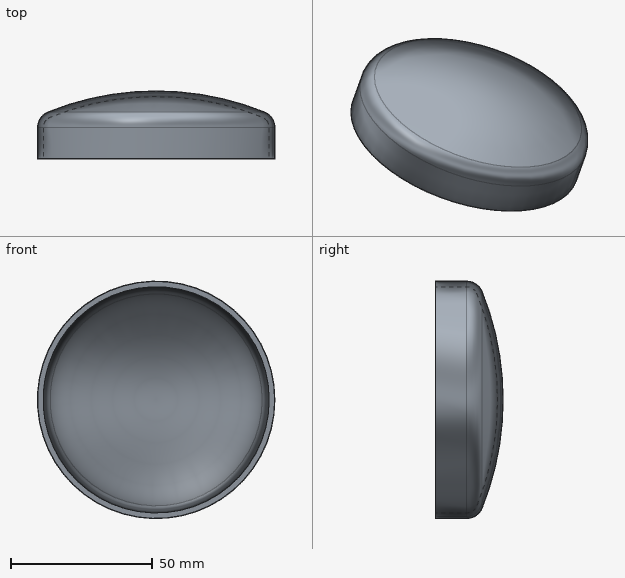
import cadquery as cq
import math

outer_radius = 42.0
total_height = 24.0
rim_height = 11.0
knuckle_radius = 6.0
wall = 2.0

knuckle_offset = outer_radius - knuckle_radius
rise = total_height - rim_height
crown_radius = (knuckle_offset**2 + rise**2 - knuckle_radius**2) / (2 * (rise - knuckle_radius))
crown_center_y = total_height - crown_radius
crown_angle = math.asin(knuckle_offset / (crown_radius - knuckle_radius))


def arc_point(center, radius, angle):
    """Point on a circle, with the angle measured from +Y toward +X."""
    center_x, center_y = center
    return (center_x + radius * math.sin(angle), center_y + radius * math.cos(angle))


def solid_cap(inset):
    """Solid domed cap whose skin lies `inset` inside the outer surface."""
    side = outer_radius - inset
    crown = crown_radius - inset
    knuckle = knuckle_radius - inset
    crown_center = (0, crown_center_y)
    knuckle_center = (knuckle_offset, rim_height)
    knuckle_middle_angle = (crown_angle + math.pi / 2) / 2

    profile = (
        cq.Workplane("XY")
        .lineTo(side, 0)
        .lineTo(side, rim_height)
        .threePointArc(
            arc_point(knuckle_center, knuckle, knuckle_middle_angle),
            arc_point(crown_center, crown, crown_angle),
        )
        .threePointArc(
            arc_point(crown_center, crown, crown_angle / 2),
            arc_point(crown_center, crown, 0),
        )
        .close()
    )
    return profile.revolve(360, (0, 0, 0), (0, 1, 0))


result = solid_cap(0).cut(solid_cap(wall))